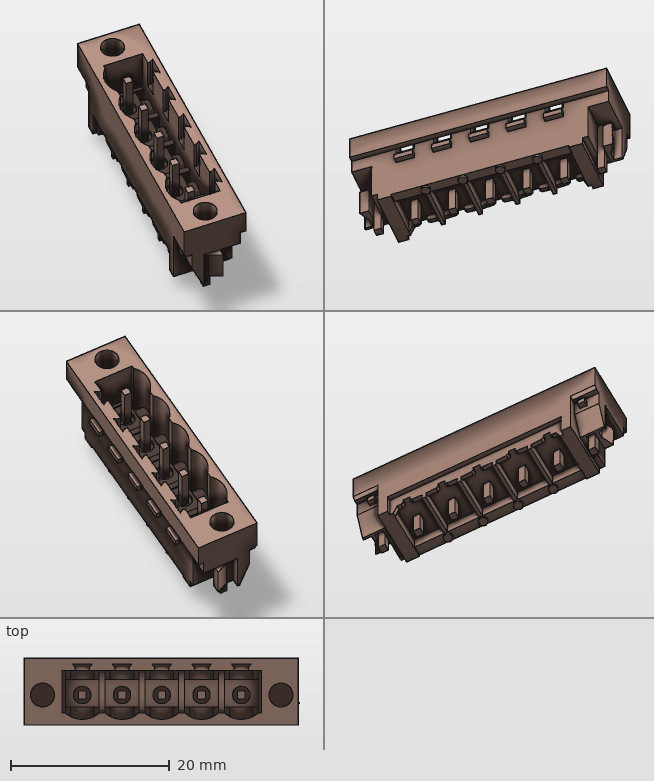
import cadquery as cq


poles = 5
pitch = 5.0
pole_x = [(i - (poles - 1) / 2) * pitch for i in range(poles)]
between_x = [x + pitch / 2 for x in pole_x[:-1]]
sides = (-1, 1)

left_x = -17.3
right_x = 17.2
height = 12.0
front_y = -3.8
rim_back_y = front_y + 8.43
back_y = rim_back_y - 0.75
rim_bottom_z = 8.55

wire = 0.95
pin_top_z = 11.0
tail_z = -1.5
anchor_x = pole_x[-1] + pitch
anchor_top_z = 6.45
anchor_tip_y = front_y + 0.4

end_inner_x = 13.75
end_bottom_z = 1.05
end_front_y = front_y + 1.07
end_ledge_y = front_y + 0.42
end_ledge_z = 7.2
end_ramp_top_z = 7.6
end_slope_z = 4.6
end_toe_y = front_y + 2.52

recess_front_y = front_y + 2.83
recess_top_z = 6.55
recess_inner_x = anchor_x - wire / 2

latch_top_z = 5.0
latch_outer_x = 16.95
latch_root_x = 16.18
latch_inner_x = 15.7
latch_bend_y = front_y + 3.77
latch_tip_y = front_y + 5.42

ridge_size = 0.1

screw_hole_diameter = 3.0
screw_hole_depth = 4.8

cavity_half_length = 12.55
cavity_front_y = front_y + 1.56
cavity_back_y = front_y + 6.87
scallop_y = front_y + 0.73
chamber_half_width = 2.125
partition_top_z = 5.8
block_top_z = 5.6
block_front_y = front_y + 2.3
block_back_y = front_y + 5.73
barrel_radius = 1.5
cavity_floor_z = 3.9
collar_diameter = 2.2
collar_depth = 0.5

slot_floor_z = 7.8
slot_neck_half = 0.885
slot_mouth_half = 1.22
slot_flare_y = cavity_back_y + 0.36

tab_bottom_z = 6.03
tab_height = 0.77
tab_back_y = rim_back_y - 0.05

skirt_half_length = 12.37
skirt_top_z = 3.57
skirt_front_y = front_y + 0.6
skirt_back_y = skirt_front_y + 0.55
skirt_edge_z = 1.35
skirt_edge_drop = 0.1
skirt_foot_x = 1.92
skirt_knee_x = 1.32
tail_notch_top_z = 2.15
notch_chamfer = 0.28
pocket_half_length = pole_x[-1] + skirt_foot_x
pocket_back_y = back_y - 1.3
wall_bottom_z = 0.32
web_width = 0.52
peg_radius = 0.61


def block(x0, x1, y0, y1, z0, z1):
    """Box given by its limits on each axis."""
    return cq.Workplane("XY").box(x1 - x0, y1 - y0, z1 - z0, centered=False).translate((x0, y0, z0))


def housing_shell():
    """Outer form: centre section between two end blocks, under a wider rim."""
    centre = block(-end_inner_x, end_inner_x, front_y, back_y, 0, height)
    rim = block(left_x, right_x, front_y, rim_back_y, rim_bottom_z, height)
    ends = (
        cq.Workplane("YZ", origin=(left_x, 0, 0))
        .moveTo(front_y, height)
        .lineTo(front_y, end_ramp_top_z)
        .lineTo(end_ledge_y, end_ledge_z)
        .lineTo(end_front_y, end_ledge_z)
        .lineTo(end_front_y, end_slope_z)
        .lineTo(end_toe_y, end_bottom_z)
        .lineTo(back_y, end_bottom_z)
        .lineTo(back_y, height)
        .close()
        .extrude(right_x - left_x)
    )
    return ends.union(centre).union(rim)


def side_recesses():
    left = block(left_x, -recess_inner_x, recess_front_y, back_y, end_bottom_z, recess_top_z)
    right = block(recess_inner_x, right_x, recess_front_y, back_y, end_bottom_z, recess_top_z)
    return left.union(right)


def screw_hole(side):
    return (
        cq.Workplane("XY", origin=(side * anchor_x, 0, height - screw_hole_depth))
        .circle(screw_hole_diameter / 2)
        .extrude(screw_hole_depth)
    )


def latch_arm(side):
    """Bent arm that grows from the front wall of a side recess."""
    return (
        cq.Workplane("XY", origin=(0, 0, end_bottom_z))
        .moveTo(side * latch_root_x, recess_front_y)
        .lineTo(side * latch_root_x, latch_bend_y)
        .lineTo(side * latch_outer_x, latch_tip_y)
        .lineTo(side * latch_inner_x, latch_tip_y)
        .lineTo(side * latch_inner_x, recess_front_y)
        .close()
        .extrude(latch_top_z - end_bottom_z)
    )


def end_ridge():
    return block(
        right_x, right_x + ridge_size,
        recess_front_y - ridge_size, recess_front_y, end_bottom_z, recess_top_z,
    )


def plug_cavity():
    """Open-topped cavity with one scallop per pole in its front wall."""
    cavity = block(
        -cavity_half_length, cavity_half_length, cavity_front_y, cavity_back_y, partition_top_z, height
    )
    for x in pole_x:
        scallop = (
            cq.Workplane("XY", origin=(0, 0, cavity_floor_z))
            .moveTo(x - chamber_half_width, cavity_back_y)
            .lineTo(x - chamber_half_width, cavity_front_y)
            .threePointArc((x, scallop_y), (x + chamber_half_width, cavity_front_y))
            .lineTo(x + chamber_half_width, cavity_back_y)
            .close()
            .extrude(height - cavity_floor_z)
        )
        cavity = cavity.union(scallop)
    return cavity


def pole_support(x):
    """Block around a pin, on a round-topped barrel that runs from front to back."""
    support = block(
        x - chamber_half_width, x + chamber_half_width,
        block_front_y, block_back_y, cavity_floor_z, block_top_z,
    )
    barrel = (
        cq.Workplane("XZ", origin=(x, cavity_back_y, cavity_floor_z))
        .moveTo(-barrel_radius, 0)
        .threePointArc((0, barrel_radius), (barrel_radius, 0))
        .close()
        .extrude(cavity_back_y - scallop_y)
    )
    collar = (
        cq.Workplane("XY", origin=(x, 0, block_top_z - collar_depth))
        .circle(collar_diameter / 2)
        .extrude(collar_depth)
    )
    return support.union(barrel).cut(collar)


def coding_slot(x):
    """Dovetail slot that breaks through the back wall below the rim."""
    return (
        cq.Workplane("XY", origin=(x, 0, slot_floor_z))
        .moveTo(-slot_neck_half, cavity_back_y)
        .lineTo(-slot_neck_half, slot_flare_y)
        .lineTo(-slot_mouth_half, back_y)
        .lineTo(slot_mouth_half, back_y)
        .lineTo(slot_neck_half, slot_flare_y)
        .lineTo(slot_neck_half, cavity_back_y)
        .close()
        .extrude(height - slot_floor_z)
    )


def back_tab(x):
    return block(
        x - slot_mouth_half, x + slot_mouth_half,
        back_y, tab_back_y, tab_bottom_z, tab_bottom_z + tab_height,
    )


def skirt_opening_edge(is_outer):
    """Foot and knee of one side of a skirt opening, as distance from the pole and height."""
    if is_outer:
        return (skirt_foot_x, 0), (skirt_knee_x, skirt_edge_z)
    web_x = (pitch - web_width) / 2
    return (web_x, 0), (web_x, skirt_edge_z - skirt_edge_drop)


def skirt_opening(x):
    """Opening under the skirt at one pole, with a chamfered notch for the pin tail."""
    left_foot, left_knee = skirt_opening_edge(x == pole_x[0])
    right_foot, right_knee = skirt_opening_edge(x == pole_x[-1])
    mouth_x = wire / 2 + notch_chamfer
    chamfer_top_z = skirt_edge_z + notch_chamfer
    return (
        cq.Workplane("XZ", origin=(x, skirt_back_y, 0))
        .moveTo(-left_foot[0], left_foot[1])
        .lineTo(-left_knee[0], left_knee[1])
        .lineTo(-mouth_x, skirt_edge_z)
        .lineTo(-wire / 2, chamfer_top_z)
        .lineTo(-wire / 2, tail_notch_top_z)
        .lineTo(wire / 2, tail_notch_top_z)
        .lineTo(wire / 2, chamfer_top_z)
        .lineTo(mouth_x, skirt_edge_z)
        .lineTo(*right_knee)
        .lineTo(*right_foot)
        .close()
        .extrude(skirt_back_y - skirt_front_y)
    )


def web(x, bottom_z, top_z):
    """Partition between two poles, running from the skirt's front to the back wall."""
    return block(x - web_width / 2, x + web_width / 2, skirt_front_y, pocket_back_y, bottom_z, top_z)


def carve_underside(body):
    """Recess the front skirt, hollow the bottom and leave webs and standoff pegs."""
    skirt_recess = block(-skirt_half_length, skirt_half_length, front_y, skirt_front_y, 0, skirt_top_z)
    pocket = block(
        -pocket_half_length, pocket_half_length, skirt_back_y, pocket_back_y, 0, tail_notch_top_z
    )
    wall_step = block(
        -pocket_half_length, pocket_half_length, pocket_back_y, back_y, 0, wall_bottom_z
    )
    body = body.cut(skirt_recess).cut(pocket).cut(wall_step)
    for x in pole_x:
        body = body.cut(skirt_opening(x))
    peg_y = (pocket_back_y + back_y) / 2
    for x in between_x:
        peg = cq.Workplane("XY", origin=(x, peg_y, 0)).circle(peg_radius).extrude(wall_bottom_z)
        body = body.cut(web(x, 0, wall_bottom_z))
        body = body.union(web(x, wall_bottom_z, tail_notch_top_z)).union(peg)
    return body


def contact_pin(x):
    return block(x - wire / 2, x + wire / 2, -wire / 2, wire / 2, tail_z, pin_top_z)


def end_anchor(x):
    """L-shaped wire: a tail with an arm that pokes out of the front."""
    arm_bottom_z = anchor_top_z - wire
    tail = block(x - wire / 2, x + wire / 2, -wire / 2, wire / 2, tail_z, anchor_top_z)
    arm = block(x - wire / 2, x + wire / 2, anchor_tip_y, wire / 2, arm_bottom_z, anchor_top_z)
    return tail.union(arm)


pins = [contact_pin(x) for x in pole_x]
anchors = [end_anchor(side * anchor_x) for side in sides]

housing = carve_underside(housing_shell()).cut(plug_cavity())
for x in pole_x:
    housing = housing.union(pole_support(x)).cut(coding_slot(x)).union(back_tab(x))
housing = housing.cut(side_recesses()).union(end_ridge())
for side in sides:
    housing = housing.cut(screw_hole(side)).union(latch_arm(side))
for wire_body in pins + anchors:
    housing = housing.cut(wire_body)

result = cq.Compound.makeCompound(
    [housing.val(), *[pin.val() for pin in pins], *[anchor.val() for anchor in anchors]]
)